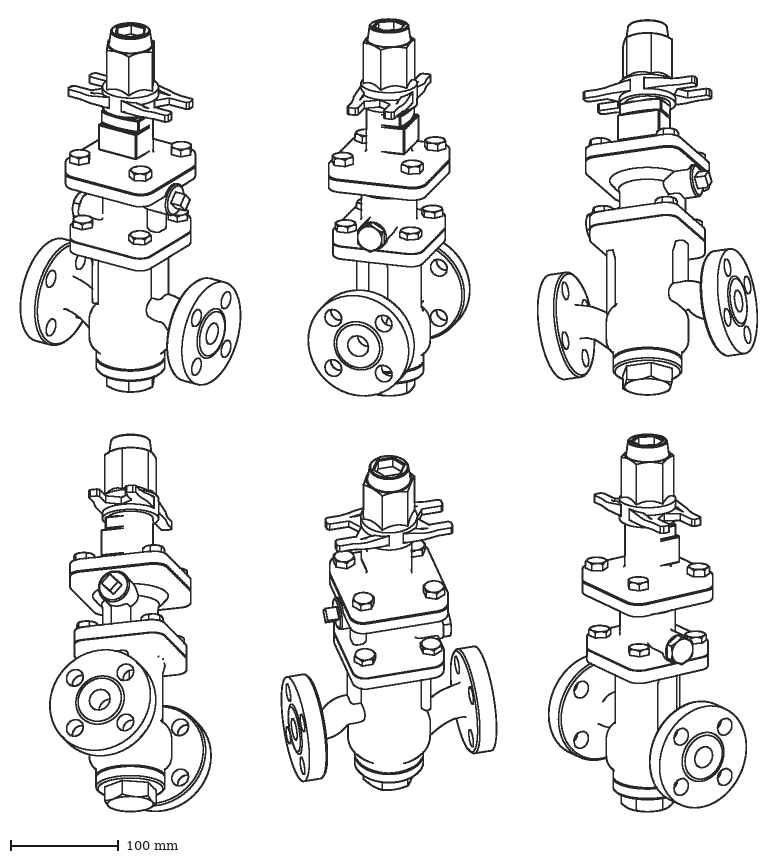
import cadquery as cq
import math

TOTAL_HEIGHT = 357.0
HEX_BEVEL = 1.8
OVERALL_LENGTH = 182.0

PLUG_HEX_FLATS = 42.5
PLUG_HEX_TOP = 15.0
PLUG_RADIUS = 64.0 / 2
PLUG_CHAMFER = 1.8
PLUG_GROOVE_Z = 26.0
PLUG_GROOVE_WIDTH = 1.0
PLUG_GROOVE_DEPTH = 1.0

BODY_RADIUS = 30.0
BODY_FOOT_Z = 80.7
BODY_FOOT_MID = (30.5, 78.5)
BODY_FLARE_Z = 128.0
BODY_HEAD_ROUND = 1.8
BULGE_RADIUS = 38.2
BULGE_FOOT_Z = 33.2
BULGE_FOOT_MID = (32.5, 36.0)
BULGE_LOWER_BLEND = (34.3, 38.2)
BULGE_LOWER_MID = (37.0, 41.8)
BULGE_LOW_Z = 46.0
BULGE_HIGH_Z = 64.3
BULGE_UPPER_MID = (36.0, 72.0)
BULGE_UPPER_BLEND = (31.8, 76.8)
INLET_RIB_BOTTOM = 75.0
OUTLET_RIB_BOTTOM = 85.7
RIB_REACH = 39.0
RIB_WIDTH = 15.7
RIB_CORNER = 3.5
RIB_ROOT_ROUND = 3.0
RIB_ROOT_SINK = 0.5

LOWER_FLANGE_BOTTOM = 137.5
LOWER_FLANGE_JOINT = 150.3
LOWER_FLANGE_TOP = 163.5
LOWER_FLANGE_SIDE = 87.5
LOWER_FLANGE_CORNER = 12.0
LOWER_BOLT_OFFSET = 31.8
LOWER_BOLT_HEIGHT = 6.0
UPPER_FLANGE_BOTTOM = 204.2
UPPER_FLANGE_JOINT = 216.7
UPPER_FLANGE_TOP = 229.2
UPPER_FLANGE_SIDE = 94.2
UPPER_FLANGE_CORNER = 13.2
UPPER_BOLT_OFFSET = 34.0
UPPER_BOLT_HEIGHT = 7.0
FLANGE_EDGE_ROUND = 1.8
LOWER_JOINT_GAP = 0.5
UPPER_JOINT_GAP = 1.0
JOINT_INSET = 0.7
BOLT_FLATS = 18.0
BOLT_BEVEL = 1.0

NECK_RADIUS = 25.7
NECK_TOP = 190.3
NECK_BLEND_MID = (26.0, 193.0)
NECK_CONE_FOOT = (26.8, 195.5)
NECK_CONE_TOP = (31.5, 200.0)
NECK_HEAD_RADIUS = 35.0
NECK_FOOT_ROUND = 4.0
SIDE_PORT_RADIUS = 15.0
SIDE_PORT_Z = 197.5
SIDE_PORT_END = 50.5
SIDE_PORT_CHAMFER = 1.5
SIDE_PLUG_END = 61.0
SIDE_PLUG_DIAGONAL = 16.5
RISER_REACH = 36.0
CAP_PORT_RADIUS = 13.5
CAP_PORT_Z = 166.5
CAP_PORT_BLEND = 3.5
CAP_START = 49.0
CAP_END = 56.8
CAP_HEX_FLATS = 23.5
CAP_BEVEL = 1.0

COLUMN_RADIUS = 21.0
COLUMN_FOOT_ROUND = 6.0
PLATE_BOTTOM = 239.0
PLATE_TOP = 265.0
PLATE_REACH = 22.0
PLATE_CHAMFER = 1.0
CURVED_PLATE_TOP = 277.0
CURVED_PLATE_SIDE_REACH = 18.0

COLLAR_RADIUS = 26.0
COLLAR_BOTTOM = 280.2
COLLAR_SHOULDER = 300.0
ARM_BOTTOM = 285.5
ARM_TOP = 292.5
ARM_TIP = 55.7
ARM_TIP_CHAMFER = 2.0
ARM_OUTER = 23.0
ARM_INNER = 12.5
ARM_BEND = 41.0
ARM_ROOT_BEND = 27.5
ARM_ROOT_OUTER = 25.5
ARM_ROOT_END = 6.8
NOTCH_MOUTH = 35.0
NOTCH_TIP = 26.8
RAMP_START = 32.0
RAMP_TOP = 296.5
RAMP_INNER = 18.0

CAP_NUT_FLATS = 42.5
CAP_NUT_TOP = 342.7
NOSE_BOTTOM_RADIUS = 20.0
NOSE_TOP_RADIUS = 18.2
NOSE_CHAMFER = 1.0
SOCKET_FLATS = 24.5
SOCKET_MOUTH_FLATS = 26.8
SOCKET_MOUTH_DEPTH = 1.0
SOCKET_DEPTH = 10.0

PIPE_AXIS_Z = 72.0
PIPE_FLANGE_DIAMETER = 98.0
PIPE_FLANGE_BACK = 72.0
PIPE_FLANGE_CHAMFER = 1.8
RAISED_FACE_HEIGHT = 1.0
RAISED_FACE_DIAMETER = 42.0
RAISED_FACE_FOOT_DIAMETER = 47.0
BOLT_HOLE_DIAMETER = 16.0
BOLT_HOLE_OFFSET = 24.5
BORE_DIAMETER = 20.0
BORE_DEPTH = 28.5
INLET_START_RADIUS = 16.0
INLET_END_RADIUS = 11.8
INLET_START_Z = 74.5
INLET_BEND_RADIUS = 50.0
INLET_BEND_ANGLE = 45.0
INLET_TAIL = 16.0
OUTLET_RADIUS = 13.5
OUTLET_BEND_RADIUS = 15.0
OUTLET_BEND_ANGLE = 55.0
OUTLET_BEND_START = 64.3
OUTLET_END = 14.3
PIPE_OVERLAP = 1.8
PIPE_BLEND = 3.0


def cylinder(radius, bottom, top):
    return cq.Workplane("XY").workplane(offset=bottom).circle(radius).extrude(top - bottom)


def block(x_min, x_max, y_min, y_max, z_min, z_max):
    size = (x_max - x_min, y_max - y_min, z_max - z_min)
    return cq.Workplane("XY").box(*size, centered=False).translate((x_min, y_min, z_min))


def revolve_about_z(half_outline):
    return half_outline.close().revolve(360, (0, 0, 0), (0, 1, 0))


def hexagon(flats, height, bevel):
    """Hexagonal prism standing on Z = 0, corners on the X axis, top corners bevelled."""
    corner_radius = flats / math.sqrt(3)
    prism = cq.Workplane("XY").polygon(6, 2 * corner_radius).extrude(height)
    envelope = revolve_about_z(
        cq.Workplane("XZ")
        .lineTo(corner_radius, 0)
        .lineTo(corner_radius, height - bevel)
        .lineTo(flats / 2, height)
        .lineTo(0, height)
    )
    return prism.intersect(envelope)


def mirrored(shape, plane):
    return shape.union(shape.mirror(plane))


def make_body():
    groove_top = PLUG_GROOVE_Z + PLUG_GROOVE_WIDTH
    groove_radius = PLUG_RADIUS - PLUG_GROOVE_DEPTH
    return revolve_about_z(
        cq.Workplane("XZ")
        .moveTo(0, PLUG_HEX_TOP)
        .lineTo(PLUG_RADIUS - PLUG_CHAMFER, PLUG_HEX_TOP)
        .lineTo(PLUG_RADIUS, PLUG_HEX_TOP + PLUG_CHAMFER)
        .lineTo(PLUG_RADIUS, PLUG_GROOVE_Z)
        .lineTo(groove_radius, PLUG_GROOVE_Z)
        .lineTo(groove_radius, groove_top)
        .lineTo(PLUG_RADIUS, groove_top)
        .lineTo(PLUG_RADIUS, BULGE_FOOT_Z)
        .threePointArc(BULGE_FOOT_MID, BULGE_LOWER_BLEND)
        .threePointArc(BULGE_LOWER_MID, (BULGE_RADIUS, BULGE_LOW_Z))
        .lineTo(BULGE_RADIUS, BULGE_HIGH_Z)
        .threePointArc(BULGE_UPPER_MID, BULGE_UPPER_BLEND)
        .threePointArc(BODY_FOOT_MID, (BODY_RADIUS, BODY_FOOT_Z))
        .lineTo(BODY_RADIUS, BODY_FLARE_Z)
        .lineTo(PLUG_RADIUS, LOWER_FLANGE_BOTTOM - BODY_HEAD_ROUND)
        .radiusArc((PLUG_RADIUS + BODY_HEAD_ROUND, LOWER_FLANGE_BOTTOM), BODY_HEAD_ROUND)
        .lineTo(0, LOWER_FLANGE_BOTTOM)
    )


def make_plug_hexagon():
    nut = hexagon(PLUG_HEX_FLATS, PLUG_HEX_TOP, HEX_BEVEL)
    return nut.mirror("XY").translate((0, 0, PLUG_HEX_TOP))


def make_rib(reach, root_radius, bottom, top):
    """Upright rib toward +X, rounded at its outer corners and blended into a cylinder at its root."""
    half_width = RIB_WIDTH / 2
    root_y = half_width + RIB_ROOT_ROUND
    root_x = math.sqrt(root_radius**2 - root_y**2) - RIB_ROOT_SINK
    rib = (
        cq.Workplane("XY")
        .workplane(offset=bottom)
        .moveTo(0, -root_y)
        .lineTo(root_x, -root_y)
        .radiusArc((root_x + RIB_ROOT_ROUND, -half_width), RIB_ROOT_ROUND)
        .lineTo(reach, -half_width)
        .lineTo(reach, half_width)
        .lineTo(root_x + RIB_ROOT_ROUND, half_width)
        .radiusArc((root_x, root_y), RIB_ROOT_ROUND)
        .lineTo(0, root_y)
        .close()
        .extrude(top - bottom)
    )
    return rib.edges("|Z and >X").fillet(RIB_CORNER)


def rounded_square(side, corner, bottom, top):
    plate = block(-side / 2, side / 2, -side / 2, side / 2, bottom, top)
    return plate.edges("|Z").fillet(corner)


def make_flange_pair(side, corner, bottom, joint, top, gap):
    """Two stacked square plates on a slightly smaller gasket that fills the gap between them."""
    gap_bottom = joint - gap / 2
    gap_top = joint + gap / 2
    lower = rounded_square(side, corner, bottom, gap_bottom).faces("<Z").edges().fillet(FLANGE_EDGE_ROUND)
    upper = rounded_square(side, corner, gap_top, top).faces(">Z").edges().fillet(FLANGE_EDGE_ROUND)
    gasket = rounded_square(side - 2 * JOINT_INSET, corner - JOINT_INSET, gap_bottom, gap_top)
    return lower.union(gasket).union(upper)


def make_bolt_heads(offset, seat, height):
    head = hexagon(BOLT_FLATS, height, BOLT_BEVEL).translate((offset, offset, seat))
    heads = head
    for quarter in range(1, 4):
        heads = heads.union(head.rotate((0, 0, 0), (0, 0, 1), 90 * quarter))
    return heads


def make_port_branch():
    """Round port toward -X, blended into the lower stretch of the neck."""
    neck = cylinder(NECK_RADIUS, LOWER_FLANGE_JOINT, NECK_TOP)
    port = cq.Workplane("YZ").center(0, CAP_PORT_Z).circle(CAP_PORT_RADIUS).extrude(-CAP_START)
    junction = cq.selectors.BoxSelector(
        (-NECK_RADIUS - PIPE_OVERLAP, -NECK_RADIUS, LOWER_FLANGE_JOINT),
        (0, NECK_RADIUS, NECK_TOP - PIPE_OVERLAP),
    )
    return neck.union(port).edges(junction).fillet(CAP_PORT_BLEND)


def make_neck():
    foot_radius = NECK_RADIUS + NECK_FOOT_ROUND
    foot_top = LOWER_FLANGE_TOP + NECK_FOOT_ROUND
    return revolve_about_z(
        cq.Workplane("XZ")
        .moveTo(0, LOWER_FLANGE_JOINT)
        .lineTo(foot_radius, LOWER_FLANGE_JOINT)
        .lineTo(foot_radius, LOWER_FLANGE_TOP)
        .radiusArc((NECK_RADIUS, foot_top), NECK_FOOT_ROUND)
        .lineTo(NECK_RADIUS, NECK_TOP)
        .threePointArc(NECK_BLEND_MID, NECK_CONE_FOOT)
        .lineTo(*NECK_CONE_TOP)
        .lineTo(NECK_HEAD_RADIUS, UPPER_FLANGE_BOTTOM)
        .lineTo(0, UPPER_FLANGE_BOTTOM)
    )


def make_side_port():
    """Round port toward +X, closed by a square-headed plug standing on its corner."""
    port = cq.Workplane("YZ").center(0, SIDE_PORT_Z).circle(SIDE_PORT_RADIUS).extrude(SIDE_PORT_END)
    port = port.faces(">X").edges().chamfer(SIDE_PORT_CHAMFER)
    plug = cq.Workplane("YZ").center(0, SIDE_PORT_Z).polygon(4, SIDE_PLUG_DIAGONAL).extrude(SIDE_PLUG_END)
    riser = make_rib(RISER_REACH, NECK_RADIUS, LOWER_FLANGE_TOP, SIDE_PORT_Z)
    return port.union(plug).union(riser)


def make_port_cap():
    """Hexagonal cap on the -X port, with corners pointing up and down."""
    cap = hexagon(CAP_HEX_FLATS, CAP_END - CAP_START, CAP_BEVEL)
    return cap.rotate((0, 0, 0), (0, 1, 0), -90).translate((-CAP_START, 0, CAP_PORT_Z))


def make_column():
    foot_radius = COLUMN_RADIUS + COLUMN_FOOT_ROUND
    foot_top = UPPER_FLANGE_TOP + COLUMN_FOOT_ROUND
    column = revolve_about_z(
        cq.Workplane("XZ")
        .moveTo(0, UPPER_FLANGE_TOP)
        .lineTo(foot_radius, UPPER_FLANGE_TOP)
        .radiusArc((COLUMN_RADIUS, foot_top), COLUMN_FOOT_ROUND)
        .lineTo(COLUMN_RADIUS, COLLAR_BOTTOM)
        .lineTo(0, COLLAR_BOTTOM)
    )
    plate = block(-COLUMN_RADIUS, COLUMN_RADIUS, -PLATE_REACH, 0, PLATE_BOTTOM, PLATE_TOP)
    plate = plate.edges("not >Y").chamfer(PLATE_CHAMFER)
    curved_plate = (
        cq.Workplane("XY")
        .workplane(offset=PLATE_TOP)
        .moveTo(-COLUMN_RADIUS, 0)
        .lineTo(-COLUMN_RADIUS, -CURVED_PLATE_SIDE_REACH)
        .threePointArc((0, -COLUMN_RADIUS), (COLUMN_RADIUS, -CURVED_PLATE_SIDE_REACH))
        .lineTo(COLUMN_RADIUS, 0)
        .close()
        .extrude(CURVED_PLATE_TOP - PLATE_TOP)
        .edges("not >Y")
        .chamfer(PLATE_CHAMFER)
    )
    return column.union(plate).union(curved_plate)


def make_collar():
    """Round collar with a 45 degree shoulder that runs up to the flats of the cap nut."""
    neck_radius = CAP_NUT_FLATS / 2
    shoulder_top = COLLAR_SHOULDER + COLLAR_RADIUS - neck_radius
    return revolve_about_z(
        cq.Workplane("XZ")
        .moveTo(0, COLLAR_BOTTOM)
        .lineTo(COLLAR_RADIUS, COLLAR_BOTTOM)
        .lineTo(COLLAR_RADIUS, COLLAR_SHOULDER)
        .lineTo(neck_radius, shoulder_top)
        .lineTo(0, shoulder_top)
    )


def make_arm_slab(height):
    """Flat slab with the plan outline of the arm on the +X, +Y side."""
    return (
        cq.Workplane("XY")
        .workplane(offset=ARM_BOTTOM)
        .moveTo(ARM_ROOT_END, 0)
        .lineTo(NOTCH_TIP, 0)
        .lineTo(NOTCH_MOUTH, ARM_INNER)
        .lineTo(ARM_TIP - ARM_TIP_CHAMFER, ARM_INNER)
        .lineTo(ARM_TIP, ARM_INNER + ARM_TIP_CHAMFER)
        .lineTo(ARM_TIP, ARM_OUTER - ARM_TIP_CHAMFER)
        .lineTo(ARM_TIP - ARM_TIP_CHAMFER, ARM_OUTER)
        .lineTo(ARM_BEND, ARM_OUTER)
        .lineTo(ARM_ROOT_BEND, ARM_ROOT_OUTER)
        .lineTo(ARM_ROOT_END, ARM_ROOT_OUTER)
        .close()
        .extrude(height)
    )


def make_handle():
    """Four arms: two toward +X and two toward -X, each with a ramp against the collar."""
    wedge = (
        cq.Workplane("XZ")
        .workplane(offset=-RAMP_INNER)
        .moveTo(ARM_ROOT_END, ARM_BOTTOM)
        .lineTo(RAMP_START, ARM_BOTTOM)
        .lineTo(RAMP_START, ARM_TOP)
        .lineTo(ARM_ROOT_END, RAMP_TOP)
        .close()
        .extrude(RAMP_INNER - ARM_ROOT_OUTER)
    )
    ramp = wedge.intersect(make_arm_slab(RAMP_TOP - ARM_BOTTOM))
    arm = make_arm_slab(ARM_TOP - ARM_BOTTOM).union(ramp)
    return mirrored(mirrored(arm, "XZ"), "YZ")


def make_cap_nut():
    nut = hexagon(CAP_NUT_FLATS, CAP_NUT_TOP - COLLAR_SHOULDER, HEX_BEVEL).translate((0, 0, COLLAR_SHOULDER))
    nose = revolve_about_z(
        cq.Workplane("XZ")
        .moveTo(0, CAP_NUT_TOP)
        .lineTo(NOSE_BOTTOM_RADIUS, CAP_NUT_TOP)
        .lineTo(NOSE_TOP_RADIUS, TOTAL_HEIGHT - NOSE_CHAMFER)
        .lineTo(NOSE_TOP_RADIUS - NOSE_CHAMFER, TOTAL_HEIGHT)
        .lineTo(0, TOTAL_HEIGHT)
    )
    socket = hexagon(SOCKET_FLATS, SOCKET_DEPTH, 0).translate((0, 0, TOTAL_HEIGHT - SOCKET_DEPTH))
    hex_corner_ratio = 2 / math.sqrt(3)
    mouth = (
        cq.Workplane("XY")
        .workplane(offset=TOTAL_HEIGHT - SOCKET_MOUTH_DEPTH)
        .polygon(6, SOCKET_FLATS * hex_corner_ratio)
        .workplane(offset=SOCKET_MOUTH_DEPTH)
        .polygon(6, SOCKET_MOUTH_FLATS * hex_corner_ratio)
        .loft()
    )
    return nut.union(nose).cut(socket).cut(mouth)


def make_pipe_flange():
    """Flange at the +X end with a raised face and four bolt holes."""
    face = OVERALL_LENGTH / 2
    front = face - RAISED_FACE_HEIGHT
    disc = (
        cq.Workplane("YZ")
        .workplane(offset=PIPE_FLANGE_BACK)
        .center(0, PIPE_AXIS_Z)
        .circle(PIPE_FLANGE_DIAMETER / 2)
        .extrude(front - PIPE_FLANGE_BACK)
    )
    disc = disc.faces("<X").edges().chamfer(PIPE_FLANGE_CHAMFER)
    raised_face = (
        cq.Workplane("YZ")
        .workplane(offset=front)
        .center(0, PIPE_AXIS_Z)
        .circle(RAISED_FACE_FOOT_DIAMETER / 2)
        .workplane(offset=RAISED_FACE_HEIGHT)
        .circle(RAISED_FACE_DIAMETER / 2)
        .loft()
    )
    hole_spacing = 2 * BOLT_HOLE_OFFSET
    holes = (
        cq.Workplane("YZ")
        .workplane(offset=PIPE_FLANGE_BACK)
        .center(0, PIPE_AXIS_Z)
        .rarray(hole_spacing, hole_spacing, 2, 2)
        .circle(BOLT_HOLE_DIAMETER / 2)
        .extrude(face - PIPE_FLANGE_BACK)
    )
    return disc.union(raised_face).cut(holes)


def make_bore():
    """Blind flow hole entering the +X flange."""
    return (
        cq.Workplane("YZ")
        .workplane(offset=OVERALL_LENGTH / 2)
        .center(0, PIPE_AXIS_Z)
        .circle(BORE_DIAMETER / 2)
        .extrude(-BORE_DEPTH)
    )


def make_inlet_pipe():
    """Tapering pipe on the -X side that bends down into the body."""
    angle = math.radians(INLET_BEND_ANGLE)
    start_x = -PIPE_FLANGE_BACK - PIPE_OVERLAP
    centre_z = INLET_START_Z - INLET_BEND_RADIUS

    def on_bend(turn):
        return (
            start_x + INLET_BEND_RADIUS * math.sin(turn),
            centre_z + INLET_BEND_RADIUS * math.cos(turn),
        )

    end_x, end_z = on_bend(angle)
    tail_x = end_x + INLET_TAIL * math.cos(angle)
    tail_z = end_z - INLET_TAIL * math.sin(angle)
    path = (
        cq.Workplane("XZ")
        .moveTo(start_x, INLET_START_Z)
        .threePointArc(on_bend(angle / 2), (end_x, end_z))
        .lineTo(tail_x, tail_z)
    )
    tail_plane = cq.Plane(
        origin=(tail_x, 0, tail_z),
        xDir=(0, 1, 0),
        normal=(math.cos(angle), 0, -math.sin(angle)),
    )
    start_section = cq.Wire.makeCircle(
        INLET_START_RADIUS, cq.Vector(start_x, 0, INLET_START_Z), cq.Vector(1, 0, 0)
    )
    end_section = cq.Wire.makeCircle(INLET_END_RADIUS, tail_plane.origin, tail_plane.zDir)
    sections = cq.Workplane("YZ").newObject([start_section, end_section]).toPending()
    return sections.sweep(path, multisection=True)


def make_outlet_pipe():
    """Pipe on the +X side that steps up into the body through two opposite bends."""
    angle = math.radians(OUTLET_BEND_ANGLE)
    start_x = PIPE_FLANGE_BACK + PIPE_OVERLAP
    bend_length = OUTLET_BEND_RADIUS * math.sin(angle)
    bend_rise = OUTLET_BEND_RADIUS * (1 - math.cos(angle))
    half_length = OUTLET_BEND_RADIUS * math.sin(angle / 2)
    half_rise = OUTLET_BEND_RADIUS * (1 - math.cos(angle / 2))
    finish_x = OUTLET_BEND_START - 2 * bend_length
    finish_z = PIPE_AXIS_Z + 2 * bend_rise
    path = (
        cq.Workplane("XZ")
        .moveTo(start_x, PIPE_AXIS_Z)
        .lineTo(OUTLET_BEND_START, PIPE_AXIS_Z)
        .threePointArc(
            (OUTLET_BEND_START - half_length, PIPE_AXIS_Z + half_rise),
            (OUTLET_BEND_START - bend_length, PIPE_AXIS_Z + bend_rise),
        )
        .threePointArc(
            (finish_x + half_length, finish_z - half_rise),
            (finish_x, finish_z),
        )
        .lineTo(OUTLET_END, finish_z)
    )
    section = cq.Workplane("YZ", origin=(start_x, 0, PIPE_AXIS_Z)).circle(OUTLET_RADIUS)
    return section.sweep(path)


def blend_to_flange(pipe, flange, flange_back):
    """Join a pipe to its flange with a fillet where it meets the back face."""
    reach = INLET_START_RADIUS + 2 * PIPE_BLEND
    junction = cq.selectors.BoxSelector(
        (flange_back - PIPE_OVERLAP / 2, -reach, PIPE_AXIS_Z - reach),
        (flange_back + PIPE_OVERLAP / 2, reach, PIPE_AXIS_Z + reach),
        boundingbox=True,
    )
    return flange.union(pipe).edges(junction).fillet(PIPE_BLEND)


result = make_body().union(make_plug_hexagon())
result = result.union(make_rib(RIB_REACH, BODY_RADIUS, OUTLET_RIB_BOTTOM, LOWER_FLANGE_BOTTOM))
result = result.union(make_rib(RIB_REACH, BODY_RADIUS, INLET_RIB_BOTTOM, LOWER_FLANGE_BOTTOM).mirror("YZ"))
result = result.union(
    make_flange_pair(
        LOWER_FLANGE_SIDE,
        LOWER_FLANGE_CORNER,
        LOWER_FLANGE_BOTTOM,
        LOWER_FLANGE_JOINT,
        LOWER_FLANGE_TOP,
        LOWER_JOINT_GAP,
    )
)
result = result.union(make_bolt_heads(LOWER_BOLT_OFFSET, LOWER_FLANGE_TOP, LOWER_BOLT_HEIGHT))
result = result.union(make_neck()).union(make_port_branch())
result = result.union(make_port_cap()).union(make_side_port())
result = result.union(
    make_flange_pair(
        UPPER_FLANGE_SIDE,
        UPPER_FLANGE_CORNER,
        UPPER_FLANGE_BOTTOM,
        UPPER_FLANGE_JOINT,
        UPPER_FLANGE_TOP,
        UPPER_JOINT_GAP,
    )
)
result = result.union(make_bolt_heads(UPPER_BOLT_OFFSET, UPPER_FLANGE_TOP, UPPER_BOLT_HEIGHT))
result = result.union(make_column()).union(make_collar()).union(make_handle()).union(make_cap_nut())
result = result.union(blend_to_flange(make_inlet_pipe(), make_pipe_flange().mirror("YZ"), -PIPE_FLANGE_BACK))
result = result.union(blend_to_flange(make_outlet_pipe(), make_pipe_flange(), PIPE_FLANGE_BACK))
result = result.cut(mirrored(make_bore(), "YZ"))